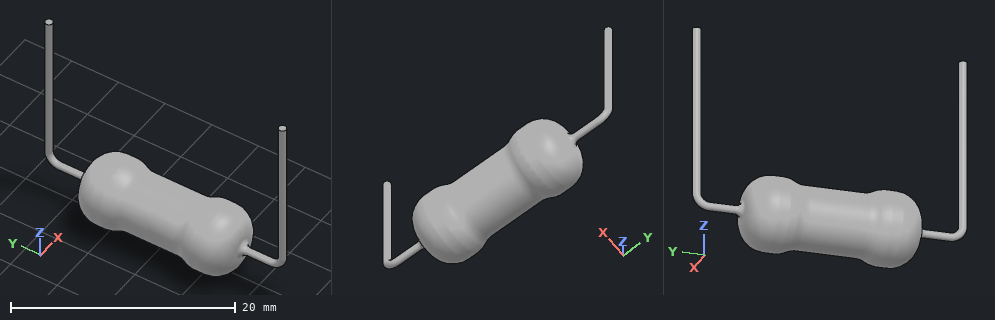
import cadquery as cq
import math

overall_length = 25.8
lead_diameter = 0.8
overall_height = 20.6
bend_radius = 1.2
body_length = 16.45
cap_diameter = 7.0
waist_diameter = 5.95
end_round = 2.43
cap_band = 1.0
shoulder_length = 2.0

DIAGONAL = math.sqrt(0.5)
lead_radius = lead_diameter / 2
cap_radius = cap_diameter / 2
waist_radius = waist_diameter / 2
body_end = body_length / 2
end_face_radius = cap_radius - end_round
fillet_radius = end_face_radius - lead_radius
fillet_end = body_end + fillet_radius
round_start = body_end - end_round
shoulder_outer = round_start - cap_band
shoulder_middle = shoulder_outer - shoulder_length / 2
shoulder_inner = shoulder_outer - shoulder_length
lead_height = overall_height - cap_radius
lead_offset = overall_length / 2 - lead_radius


def make_half_body():
    """Revolve the half of the body on the +Y side, with its lead fillet."""
    middle_radius = (cap_radius + waist_radius) / 2
    fillet_mid = (
        lead_radius + fillet_radius * (1 - DIAGONAL),
        body_end + fillet_radius * (1 - DIAGONAL),
    )
    round_mid = (end_face_radius + end_round * DIAGONAL, round_start + end_round * DIAGONAL)
    profile = (
        cq.Workplane("XY")
        .lineTo(waist_radius, 0)
        .lineTo(waist_radius, shoulder_inner)
        .tangentArcPoint((middle_radius, shoulder_middle), relative=False)
        .tangentArcPoint((cap_radius, shoulder_outer), relative=False)
        .lineTo(cap_radius, round_start)
        .threePointArc(round_mid, (end_face_radius, body_end))
        .threePointArc(fillet_mid, (lead_radius, fillet_end))
        .lineTo(0, fillet_end)
        .close()
    )
    return profile.revolve(360, (0, 0, 0), (0, 1, 0))


def make_lead():
    """Sweep the +Y lead outward from the body centre, then up to its tip."""
    bend_start = lead_offset - bend_radius
    bend_mid = (bend_start + bend_radius * DIAGONAL, bend_radius * (1 - DIAGONAL))
    path = (
        cq.Workplane("YZ")
        .lineTo(bend_start, 0)
        .threePointArc(bend_mid, (lead_offset, bend_radius))
        .lineTo(lead_offset, lead_height)
    )
    return cq.Workplane("XZ").circle(lead_radius).sweep(path)


half = make_half_body().union(make_lead())
result = half.union(half.mirror("XZ"), clean=True)